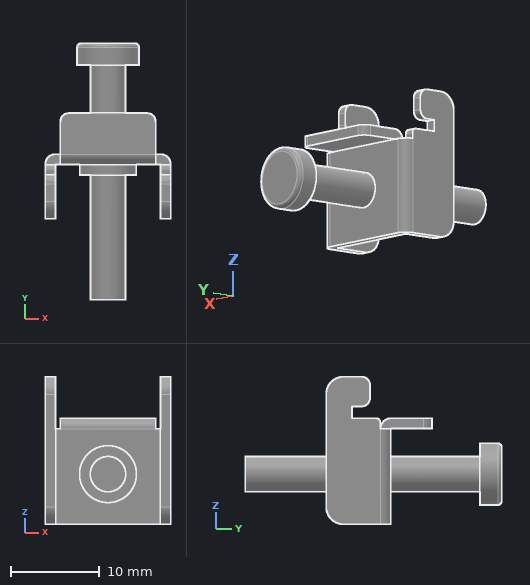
import cadquery as cq
import math


shank_diameter = 4.0
head_diameter = 7.02
head_length = 2.5
head_edge_radius = 0.5
screw_length = 29.0
head_end = 12.53
head_seat = head_end - head_length
screw_tip = head_end - screw_length

sheet = 1.2
bracket_width = 14.2
bracket_height = 16.7
inner_width = bracket_width - 2 * sheet
bottom = -5.68
top = bottom + bracket_height
tab_top = 6.32
web_top = tab_top - sheet
bend_offset = sheet * math.sqrt(0.5)

leg_front = -7.35
leg_back = -sheet
leg_corner_radius = 2.0
leg_shoulder_radius = 0.5
hook_back = -2.35
hook_underside = 7.63
hook_corner_radius = 1.0
neck_back = -4.38

tab_width = 10.8
tab_back = 4.65
tab_corner_radius = 1.0

collar_diameter = 6.45
collar_length = 1.2


def y_cylinder(diameter, start, end):
    """Cylinder on the screw axis running from Y = start to the larger Y = end."""
    return (
        cq.Workplane("XZ", origin=(0, start, 0))
        .circle(diameter / 2)
        .extrude(start - end)
    )


def make_screw():
    """Plain shank with a round head whose outer edge is rounded."""
    shank = y_cylinder(shank_diameter, screw_tip, head_seat)
    head = y_cylinder(head_diameter, head_seat, head_end)
    head = head.faces(">Y").edges().fillet(head_edge_radius)
    return shank.union(head)


def make_web():
    """Flat back wall with a quarter-round bend toward each leg."""
    half_inner = inner_width / 2
    half_outer = bracket_width / 2
    return (
        cq.Workplane("XY", origin=(0, 0, bottom))
        .moveTo(-half_outer, leg_back)
        .lineTo(half_outer, leg_back)
        .threePointArc((half_inner + bend_offset, leg_back + bend_offset), (half_inner, 0))
        .lineTo(-half_inner, 0)
        .threePointArc((-half_inner - bend_offset, leg_back + bend_offset), (-half_outer, leg_back))
        .close()
        .extrude(web_top - bottom)
    )


def make_leg(inner_x):
    """Side leg with a hook at its upper end, starting at X = inner_x."""
    leg = (
        cq.Workplane("YZ", origin=(inner_x, 0, 0))
        .moveTo(leg_back, bottom)
        .lineTo(leg_front, bottom)
        .lineTo(leg_front, top)
        .lineTo(hook_back, top)
        .lineTo(hook_back, hook_underside)
        .lineTo(neck_back, hook_underside)
        .lineTo(neck_back, tab_top)
        .lineTo(leg_back, tab_top)
        .close()
        .extrude(sheet)
    )
    leg = leg.edges("|X and <Y").fillet(leg_corner_radius)
    leg = leg.faces(">Y").edges("|X and >Z").fillet(leg_shoulder_radius)
    hook_middle = (inner_x + sheet / 2, hook_back, (hook_underside + top) / 2)
    hook_end = cq.selectors.NearestToPointSelector(hook_middle)
    return leg.faces(hook_end).edges("|X").fillet(hook_corner_radius)


def make_tab():
    """Horizontal tab with rounded free corners, joined to the web by a quarter-round bend."""
    tab = (
        cq.Workplane("XY", origin=(0, 0, web_top))
        .center(0, tab_back / 2)
        .rect(tab_width, tab_back)
        .extrude(sheet)
        .edges("|Z and >Y")
        .fillet(tab_corner_radius)
    )
    bend = (
        cq.Workplane("YZ", origin=(-tab_width / 2, 0, web_top))
        .lineTo(-sheet, 0)
        .threePointArc((-bend_offset, bend_offset), (0, sheet))
        .close()
        .extrude(tab_width)
    )
    return tab.union(bend)


def make_bracket():
    """Bent sheet bracket with a collared hole that the screw fills."""
    bracket = make_web().union(make_tab())
    for inner_x in (inner_width / 2, -bracket_width / 2):
        bracket = bracket.union(make_leg(inner_x))
    collar = y_cylinder(collar_diameter, leg_back - collar_length, leg_back)
    hole = y_cylinder(shank_diameter, leg_back - collar_length, 0)
    return bracket.union(collar).cut(hole)


screw = make_screw()
bracket = make_bracket()

result = cq.Compound.makeCompound([screw.val(), bracket.val()])